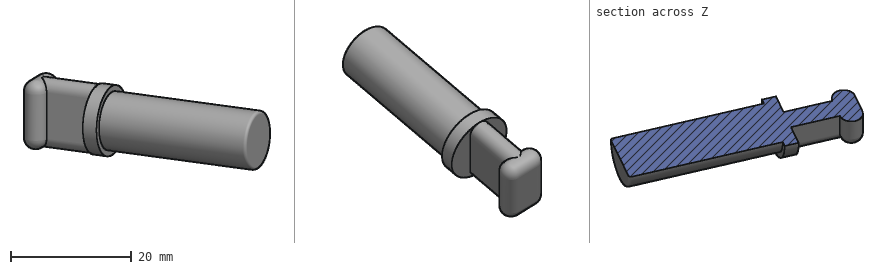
import cadquery as cq

total_length = 42.0
flange_diameter = 12.0
flange_thickness = 2.5
flange_start = 12.5
shaft_diameter = 10.0
shaft_end_fillet = 0.5

bar_thickness = 4.0
bar_radius = bar_thickness / 2
head_width = 2 * bar_thickness
head_height = flange_diameter
corner_y = head_width / 2 - bar_radius
corner_z = head_height / 2 - bar_radius
flange_end = flange_start + flange_thickness


def rod(start, direction, length):
    """Cylinder with the common edge radius."""
    return cq.Workplane(cq.Solid.makeCylinder(bar_radius, length, cq.Vector(*start), cq.Vector(*direction)))


def make_head():
    """Plate whose rim is fully rounded: flat core, four edge rods and a ball at each corner."""
    head = cq.Workplane("XY").box(bar_thickness, 2 * corner_y, 2 * corner_z)
    for side in (-1, 1):
        head = head.union(rod((0, side * corner_y, -corner_z), (0, 0, 1), 2 * corner_z))
        head = head.union(rod((0, -corner_y, side * corner_z), (0, 1, 0), 2 * corner_y))
        for level in (-1, 1):
            ball = cq.Workplane("XY").sphere(bar_radius)
            head = head.union(ball.translate((0, side * corner_y, level * corner_z)))
    return head.translate((bar_radius, 0, 0))


def make_neck():
    """Flat web with fully rounded top and bottom, from the middle of the head to the flange."""
    return (
        cq.Workplane("YZ", origin=(bar_radius, 0, 0))
        .slot2D(head_height, bar_thickness, 90)
        .extrude(flange_start - bar_radius)
    )


def make_flange():
    return cq.Workplane("YZ", origin=(flange_start, 0, 0)).circle(flange_diameter / 2).extrude(flange_thickness)


def make_shaft():
    """Round shaft with a rounded free end."""
    return (
        cq.Workplane("YZ", origin=(flange_end, 0, 0))
        .circle(shaft_diameter / 2)
        .extrude(total_length - flange_end)
        .faces(">X")
        .edges()
        .fillet(shaft_end_fillet)
    )


result = make_head().union(make_neck()).union(make_flange()).union(make_shaft())